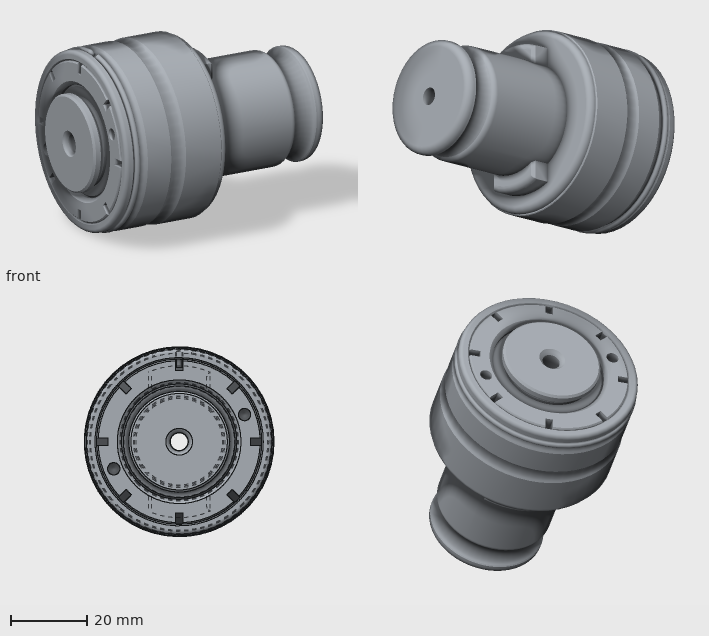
import cadquery as cq
import math

LENGTH = 68.7

NOSE_R = 13.2
NOSE_BACK_Y = 2.55
NOSE_CHAMFER = 0.55
NECK_R = 11.35
HUB_Y = 3.4
HUB_R = 12.0
HUB_CHAMFER = 0.35
FLANGE_Y = 4.5
FLANGE_R = 15.1
FLANGE_CHAMFER = 0.5

RING_FACE_Y = 3.0
RING_BACK_Y = 12.4
RING_R = 21.65
RING_CHAMFER = 0.4
RING_BORE_CHAMFER = 1.1
SLOT_COUNT = 8
SLOT_WIDTH = 2.0
SLOT_INNER_R = 18.7
SLOT_DEPTH = 4.8
SPANNER_HOLE_D = 3.2
SPANNER_HOLE_R = 18.55
SPANNER_HOLE_DEPTH = 3.45
SPANNER_HOLE_ANGLE = 22.5
DRILL_POINT_ANGLE = 118.0

WIRE_R = 0.75
WIRE_LOOP_R = 24.0
WIRE_BEND_R = 0.8
WIRE_Y = 6.8
WIRE_GAP = 3.3
WIRE_TAIL_END_R = 19.45
TAIL_HOLE_D = 2.0
SEAT_LIP_R = 23.5

RIM_FACE_Y = 3.2
RIM_R = 24.3
RIM_FILLET = 1.0
RIM_BACK_Y = 5.4
FRONT_BAND_R = 24.65
FRONT_BAND_START_Y = 9.6
FRONT_BAND_END_Y = 16.7
GRIP_R = 24.1
COLLAR_R = 24.9
REAR_BAND_START_Y = 21.0
REAR_BAND_END_Y = 31.7
REAR_BAND_CHAMFER = 0.2
COLLAR_FILLET = 1.6
COLLAR_FILLET_R = 24.4
COLLAR_BACK_Y = 33.9

SHANK_R = 15.5
SHANK_END_Y = 58.4
SHOULDER_MID_R = 15.3
SHOULDER_MID_Y = 59.2
GROOVE_START_R = 14.5
GROOVE_START_Y = 59.9
GROOVE_R = 13.25
GROOVE_MID_Y = 62.5
GROOVE_END_Y = 65.7
REAR_RIM_R = 15.4
REAR_RIM_CHAMFER = 0.3
REAR_FILLET = 1.9

LUG_WIDTH = 16.1
LUG_OUTER_R = 19.9
LUG_BACK_Y = 39.15
LUG_FILLET = 1.6
LUG_CHAMFER = 0.8

BORE_R = 2.35
BORE_MOUTH_R = 3.5
BORE_MOUTH_DEPTH = 1.2

ARC_45 = math.sqrt(0.5)


def turned(profile):
    """Revolve a closed (radius, y) outline about the Y axis."""
    return profile.close().revolve(360, (0, 0, 0), (0, 1, 0))


def about_axis(body, angle):
    """Turn a body about the Y axis, from +X towards +Z."""
    return body.rotate((0, 0, 0), (0, 1, 0), -angle)


def make_turned_housing():
    seat_half_width = math.sqrt(WIRE_R**2 - (WIRE_LOOP_R - SEAT_LIP_R)**2)
    rim_fillet_center = (RIM_R - RIM_FILLET, RIM_FACE_Y + RIM_FILLET)
    collar_fillet_center = (COLLAR_FILLET_R - COLLAR_FILLET, COLLAR_BACK_Y - COLLAR_FILLET)
    rear_fillet_center = (REAR_RIM_R - REAR_FILLET, LENGTH - REAR_FILLET)
    grip_mid_y = (FRONT_BAND_END_Y + REAR_BAND_START_Y) / 2
    profile = (
        cq.Workplane("XY")
        .moveTo(0, 0)
        .lineTo(NOSE_R - NOSE_CHAMFER, 0)
        .lineTo(NOSE_R, NOSE_CHAMFER)
        .lineTo(NOSE_R, NOSE_BACK_Y - NOSE_CHAMFER)
        .lineTo(NOSE_R - NOSE_CHAMFER, NOSE_BACK_Y)
        .lineTo(NECK_R, NOSE_BACK_Y)
        .lineTo(NECK_R, HUB_Y)
        .lineTo(HUB_R - HUB_CHAMFER, HUB_Y)
        .lineTo(HUB_R, HUB_Y + HUB_CHAMFER)
        .lineTo(HUB_R, FLANGE_Y)
        .lineTo(FLANGE_R - FLANGE_CHAMFER, FLANGE_Y)
        .lineTo(FLANGE_R, FLANGE_Y + FLANGE_CHAMFER)
        .lineTo(FLANGE_R, RING_BACK_Y)
        .lineTo(RING_R, RING_BACK_Y)
        .lineTo(RING_R, RIM_FACE_Y + RING_CHAMFER)
        .lineTo(RING_R + RING_CHAMFER, RIM_FACE_Y)
        .lineTo(rim_fillet_center[0], RIM_FACE_Y)
        .threePointArc(
            (rim_fillet_center[0] + RIM_FILLET * ARC_45, rim_fillet_center[1] - RIM_FILLET * ARC_45),
            (RIM_R, rim_fillet_center[1]),
        )
        .lineTo(RIM_R, RIM_BACK_Y)
        .lineTo(SEAT_LIP_R, WIRE_Y - seat_half_width)
        .threePointArc((WIRE_LOOP_R - WIRE_R, WIRE_Y), (SEAT_LIP_R, WIRE_Y + seat_half_width))
        .lineTo(FRONT_BAND_R, FRONT_BAND_START_Y)
        .lineTo(FRONT_BAND_R, FRONT_BAND_END_Y)
        .threePointArc((GRIP_R, grip_mid_y), (COLLAR_R, REAR_BAND_START_Y))
        .lineTo(COLLAR_R, REAR_BAND_END_Y)
        .lineTo(COLLAR_R - REAR_BAND_CHAMFER, REAR_BAND_END_Y + REAR_BAND_CHAMFER)
        .lineTo(COLLAR_FILLET_R, REAR_BAND_END_Y + REAR_BAND_CHAMFER)
        .lineTo(COLLAR_FILLET_R, collar_fillet_center[1])
        .threePointArc(
            (
                collar_fillet_center[0] + COLLAR_FILLET * ARC_45,
                collar_fillet_center[1] + COLLAR_FILLET * ARC_45,
            ),
            (collar_fillet_center[0], COLLAR_BACK_Y),
        )
        .lineTo(SHANK_R, COLLAR_BACK_Y)
        .lineTo(SHANK_R, SHANK_END_Y)
        .threePointArc((SHOULDER_MID_R, SHOULDER_MID_Y), (GROOVE_START_R, GROOVE_START_Y))
        .threePointArc((GROOVE_R, GROOVE_MID_Y), (REAR_RIM_R - REAR_RIM_CHAMFER, GROOVE_END_Y))
        .lineTo(REAR_RIM_R, GROOVE_END_Y + REAR_RIM_CHAMFER)
        .lineTo(REAR_RIM_R, rear_fillet_center[1])
        .threePointArc(
            (rear_fillet_center[0] + REAR_FILLET * ARC_45, rear_fillet_center[1] + REAR_FILLET * ARC_45),
            (rear_fillet_center[0], LENGTH),
        )
        .lineTo(0, LENGTH)
    )
    return turned(profile)


def make_lugs():
    """Two opposite lugs at +Z and -Z, as one bar across the shank."""
    lug_length = LUG_BACK_Y - COLLAR_BACK_Y
    bar = (
        cq.Workplane("XY")
        .box(LUG_WIDTH, lug_length, 2 * LUG_OUTER_R)
        .faces(">Y").edges("|Z").chamfer(LUG_CHAMFER)
        .translate((0, COLLAR_BACK_Y + lug_length / 2, 0))
    )
    rounded_disc = (
        cq.Workplane("XZ", origin=(0, COLLAR_BACK_Y, 0))
        .circle(LUG_OUTER_R)
        .extrude(-lug_length)
        .faces(">Y").edges().fillet(LUG_FILLET)
    )
    return bar.intersect(rounded_disc)


def make_bore():
    """Through hole along the axis with a conical mouth at the nose."""
    return turned(
        cq.Workplane("XY")
        .moveTo(0, 0)
        .lineTo(BORE_MOUTH_R, 0)
        .lineTo(BORE_R, BORE_MOUTH_DEPTH)
        .lineTo(BORE_R, LENGTH)
        .lineTo(0, LENGTH)
    )


def make_tail_hole():
    """Radial hole at +Z from the wire seat into the lock ring recess."""
    start_z = (SLOT_INNER_R + RING_R) / 2
    return (
        cq.Workplane("XY", origin=(0, WIRE_Y, start_z))
        .circle(TAIL_HOLE_D / 2)
        .extrude(COLLAR_R - start_z)
    )


def make_housing():
    body = make_turned_housing().union(make_lugs())
    return body.cut(make_bore()).cut(make_tail_hole())


def make_slot():
    """Radial slot at +X, open to the ring edge, its floor a 45 degree cone."""
    floor_y = RING_FACE_Y + SLOT_DEPTH
    wedge = turned(
        cq.Workplane("XY")
        .moveTo(SLOT_INNER_R, RING_FACE_Y)
        .lineTo(RING_R, RING_FACE_Y)
        .lineTo(RING_R, floor_y + RING_R - SLOT_INNER_R)
        .lineTo(SLOT_INNER_R, floor_y)
    )
    strip = (
        cq.Workplane("XY")
        .box(RING_R, LENGTH, SLOT_WIDTH)
        .translate((RING_R / 2, LENGTH / 2, 0))
    )
    return wedge.intersect(strip)


def make_spanner_hole():
    """Blind drilled hole at +X with a conical bottom."""
    radius = SPANNER_HOLE_D / 2
    bottom_y = RING_FACE_Y + SPANNER_HOLE_DEPTH
    point_depth = radius / math.tan(math.radians(DRILL_POINT_ANGLE / 2))
    hole = turned(
        cq.Workplane("XY")
        .moveTo(0, RING_FACE_Y)
        .lineTo(radius, RING_FACE_Y)
        .lineTo(radius, bottom_y)
        .lineTo(0, bottom_y + point_depth)
    )
    return hole.translate((SPANNER_HOLE_R, 0, 0))


def make_lock_ring():
    ring = turned(
        cq.Workplane("XY")
        .moveTo(FLANGE_R + RING_BORE_CHAMFER, RING_FACE_Y)
        .lineTo(RING_R - RING_CHAMFER, RING_FACE_Y)
        .lineTo(RING_R, RING_FACE_Y + RING_CHAMFER)
        .lineTo(RING_R, RING_BACK_Y)
        .lineTo(FLANGE_R, RING_BACK_Y)
        .lineTo(FLANGE_R, RING_FACE_Y + RING_BORE_CHAMFER)
    )
    slot = make_slot()
    for i in range(SLOT_COUNT):
        ring = ring.cut(about_axis(slot, i * 360 / SLOT_COUNT))
    spanner_hole = make_spanner_hole()
    for half_turn in (0, 180):
        ring = ring.cut(about_axis(spanner_hole, SPANNER_HOLE_ANGLE + half_turn))
    return ring


def make_retaining_wire():
    """Open wire loop; the end at +Z is bent inwards through the collar."""
    gap_angle = math.asin(WIRE_GAP / WIRE_LOOP_R)
    bend_center_r = WIRE_LOOP_R - WIRE_BEND_R
    bend_angle = math.asin(WIRE_BEND_R / bend_center_r)
    bend_center_z = bend_center_r * math.cos(bend_angle)
    bend_mid_angle = (math.pi / 2 - bend_angle) / 2
    path = (
        cq.Workplane("XZ", origin=(0, WIRE_Y, 0))
        .moveTo(0, WIRE_TAIL_END_R)
        .lineTo(0, bend_center_z)
        .threePointArc(
            (
                WIRE_BEND_R * math.cos(bend_mid_angle) - WIRE_BEND_R,
                WIRE_BEND_R * math.sin(bend_mid_angle) + bend_center_z,
            ),
            (-WIRE_LOOP_R * math.sin(bend_angle), WIRE_LOOP_R * math.cos(bend_angle)),
        )
        .threePointArc((0, -WIRE_LOOP_R), (WIRE_GAP, WIRE_LOOP_R * math.cos(gap_angle)))
    )
    section = cq.Workplane("XY", origin=(0, WIRE_Y, WIRE_TAIL_END_R)).circle(WIRE_R)
    return section.sweep(path)


housing = make_housing()
lock_ring = make_lock_ring()
retaining_wire = make_retaining_wire()

result = cq.Compound.makeCompound([
    *housing.solids().vals(),
    *lock_ring.solids().vals(),
    *retaining_wire.solids().vals(),
])